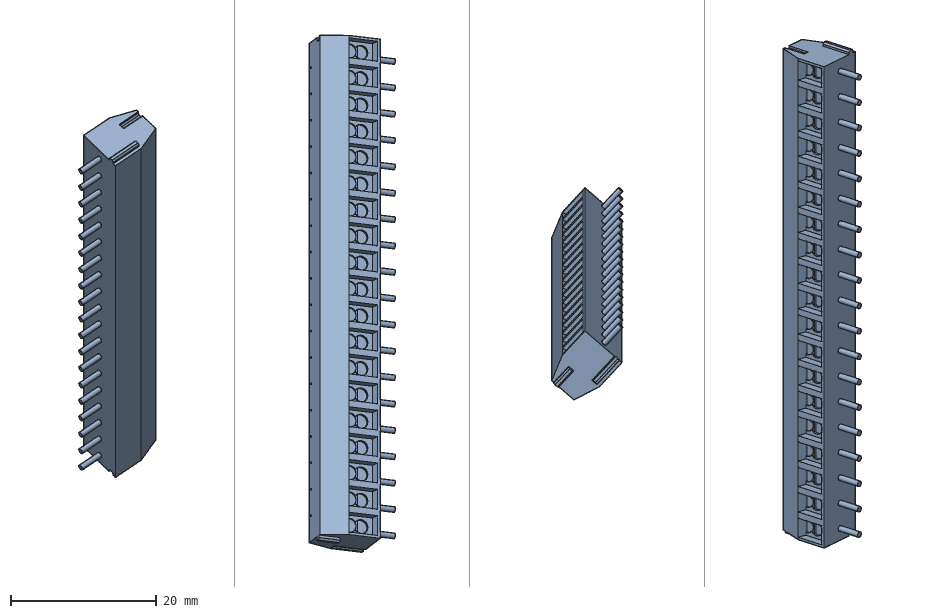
import cadquery as cq
import math

OVERLAP = 0.2

pole_count = 19
body_length = 72.15
body_width = 6.8
body_depth = 8.4
shoulder_y = 4.6
back_width = 4.1
side_x = -body_width / 2

pole_span = 68.55
pitch = pole_span / (pole_count - 1)
first_pole_z = (body_length - pole_span) / 2
pole_heights = [first_pole_z + i * pitch for i in range(pole_count)]

pin_x = 0.1
pin_diameter = 0.8
pin_length = 3.45

window_height = 2.85
window_depth = 1.25
window_front_y = 0.45
front_wall_lean = 0.2
back_wall_lean = 0.4

wire_hole_diameter = 2.0
wire_hole_y = 2.35
wire_hole_depth = 0.15
clamp_step_y = 2.8
clamp_step_depth = 0.4
slot_centre_y = 4.0
slot_depth = 0.2

long_rib_x = 2.5
long_rib_height = 0.6
long_groove_depth = 0.5
short_rib_x = -1.25
short_rib_height = 0.65
short_rib_length = 3.1
short_groove_depth = 0.6
short_groove_length = 3.4
rib_width = 0.9
rib_chamfer_width = 0.2
rib_chamfer_height = 0.3

stud_x = 1.3
stud_diameter = 0.2
stud_height = 0.2


def cylinder_along_y(x, z, radius, start_y, end_y):
    axis = cq.Vector(0, 1, 0)
    return cq.Workplane(cq.Solid.makeCylinder(radius, end_y - start_y, cq.Vector(x, start_y, z), axis))


def make_body():
    half_outline = [(0, 0), (body_width / 2, 0), (body_width / 2, shoulder_y), (back_width / 2, body_depth)]
    outline = cq.Workplane("XY").polyline(half_outline + [(0, body_depth)]).close()
    half = outline.extrude(body_length)
    return half.union(half.mirror("YZ"))


def make_rib(x, z, height, start_y, end_y):
    """Chamfered bar along Y, reaching a signed height from z and overlapping the other way."""
    up = math.copysign(1, height)
    half_width = rib_width / 2
    shoulder_z = z + height - up * rib_chamfer_height
    half_top = half_width - rib_chamfer_width
    points = [
        (x - half_width, z - up * OVERLAP),
        (x - half_width, shoulder_z),
        (x - half_top, z + height),
        (x + half_top, z + height),
        (x + half_width, shoulder_z),
        (x + half_width, z - up * OVERLAP),
    ]
    return cq.Workplane("XZ", origin=(0, end_y, 0)).polyline(points).close().extrude(end_y - start_y)


def make_window():
    """Window and its floor recesses for a pole at Z = 0."""
    floor_x = side_x + window_depth
    window = (
        cq.Workplane("XY")
        .moveTo(side_x, window_front_y)
        .lineTo(floor_x, window_front_y + front_wall_lean)
        .lineTo(floor_x, shoulder_y - back_wall_lean)
        .lineTo(side_x, shoulder_y)
        .close()
        .extrude(window_height / 2, both=True)
    )
    floor = cq.Workplane("YZ", origin=(floor_x, 0, 0))
    radius = wire_hole_diameter / 2
    shallow_hole = floor.center(wire_hole_y, 0).circle(radius).extrude(wire_hole_depth)
    half_step = math.sqrt(radius**2 - (clamp_step_y - wire_hole_y) ** 2)
    deep_hole = (
        floor.moveTo(clamp_step_y, -half_step)
        .threePointArc((wire_hole_y - radius, 0), (clamp_step_y, half_step))
        .close()
        .extrude(clamp_step_depth)
    )
    slot_back_y = shoulder_y - back_wall_lean
    slot = (
        floor.moveTo(slot_back_y, -radius)
        .lineTo(slot_centre_y, -radius)
        .threePointArc((slot_centre_y - radius, 0), (slot_centre_y, radius))
        .lineTo(slot_back_y, radius)
        .close()
        .extrude(slot_depth)
    )
    return window.union(shallow_hole).union(deep_hole).union(slot)


result = make_body()

window = make_window()
for z in pole_heights:
    result = result.cut(window.translate((0, 0, z)))
    result = result.union(cylinder_along_y(pin_x, z, pin_diameter / 2, -pin_length, OVERLAP))

stud_start_y = body_depth - OVERLAP
stud_end_y = body_depth + stud_height
for z in pole_heights[:-1]:
    stud = cylinder_along_y(stud_x, z + pitch / 2, stud_diameter / 2, stud_start_y, stud_end_y)
    result = result.union(stud)

rib_start_y = body_depth - short_rib_length
groove_start_y = body_depth - short_groove_length
result = result.union(make_rib(long_rib_x, body_length, long_rib_height, 0, shoulder_y))
result = result.cut(make_rib(long_rib_x, 0, long_groove_depth, 0, shoulder_y))
result = result.union(make_rib(short_rib_x, 0, -short_rib_height, rib_start_y, body_depth))
result = result.cut(make_rib(short_rib_x, body_length, -short_groove_depth, groove_start_y, body_depth))